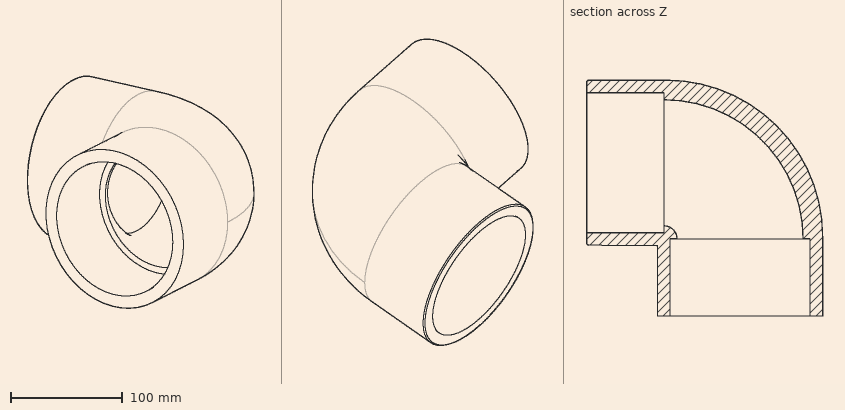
import cadquery as cq
import math


outer_diameter = 148.0
socket_diameter = 125.0
bore_diameter = 112.6
axis_to_end = 137.0
leg_length = 71.0
socket_depth = 69.0
end_chamfer = 1.2
bend_angle = 90

outer_radius = outer_diameter / 2
outer_bend_radius = axis_to_end - leg_length
bore_bend_radius = axis_to_end - socket_depth


def straight_x(diameter, length):
    """Cylinder on the X axis, from the -X open end inward."""
    return cq.Workplane("YZ", origin=(-axis_to_end, 0, 0)).circle(diameter / 2).extrude(length)


def straight_y(diameter, length):
    """Cylinder on the Y axis, from the -Y open end inward."""
    return cq.Workplane("XZ", origin=(0, -axis_to_end, 0)).circle(diameter / 2).extrude(-length)


def bend_plane(bend_radius):
    """Plane across the -Y leg where a bend of this radius begins."""
    return cq.Workplane("XZ", origin=(0, -bend_radius, 0))


def turn(section, bend_radius):
    """Turn a section about the bend's vertical axis, from the -Y leg to the -X leg."""
    return section.revolve(bend_angle, (-bend_radius, -1, 0), (-bend_radius, 1, 0))


def outer_bend():
    """Outside of the bend.

    The round section is wider than the bend radius, so it is cut off at the turning axis.
    It is drawn as a lower and an upper arc that meet at its outermost point.
    """
    half_chord = math.sqrt(outer_radius**2 - outer_bend_radius**2)
    diagonal = outer_radius * math.sqrt(0.5)
    section = (
        bend_plane(outer_bend_radius)
        .moveTo(-outer_bend_radius, -half_chord)
        .threePointArc((diagonal, -diagonal), (outer_radius, 0))
        .threePointArc((diagonal, diagonal), (-outer_bend_radius, half_chord))
        .close()
    )
    return turn(section, outer_bend_radius)


def bend_bore():
    """Curved bore running from one pipe stop to the other."""
    section = bend_plane(bore_bend_radius).circle(bore_diameter / 2)
    return turn(section, bore_bend_radius)


def outer_body():
    """Solid elbow: the bend with its two straight legs."""
    leg_x = straight_x(outer_diameter, leg_length).faces("<X").chamfer(end_chamfer)
    leg_y = straight_y(outer_diameter, leg_length)
    return outer_bend().union(leg_x).union(leg_y)


def cut_passage(body):
    """Bore the bend and open a pipe socket in each leg."""
    return (
        body.cut(bend_bore())
        .cut(straight_x(socket_diameter, socket_depth))
        .cut(straight_y(socket_diameter, socket_depth))
    )


result = cut_passage(outer_body())